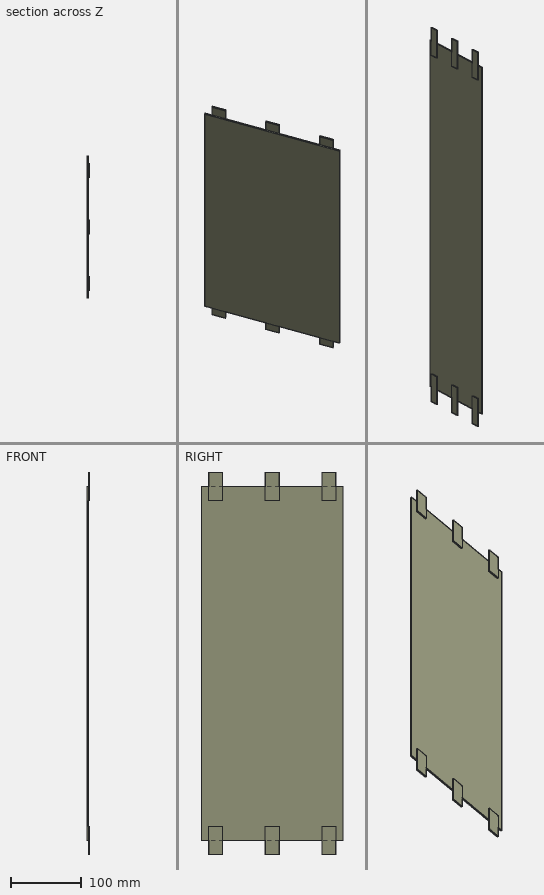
import cadquery as cq

total_height = 539.0
total_thickness = 4.0

panel_width = 200.0
panel_height = 499.0
panel_thickness = 2.0

tab_width = 20.0
tab_length = 40.0
tab_thickness = total_thickness - panel_thickness
tab_pitch = 80.0
tab_center_z = (total_height - tab_length) / 2


def make_panel():
    """Flat plate with its back face on X = 0."""
    return cq.Workplane("XY").box(
        panel_thickness, panel_width, panel_height, centered=(False, True, True)
    )


def make_tab(y, z):
    """Flat strip lying against the panel's front face."""
    return (
        cq.Workplane("XY")
        .box(tab_thickness, tab_width, tab_length, centered=(False, True, True))
        .translate((panel_thickness, y, z))
    )


result = make_panel()
for tab_y in (-tab_pitch, 0, tab_pitch):
    for tab_z in (-tab_center_z, tab_center_z):
        result = result.union(make_tab(tab_y, tab_z))